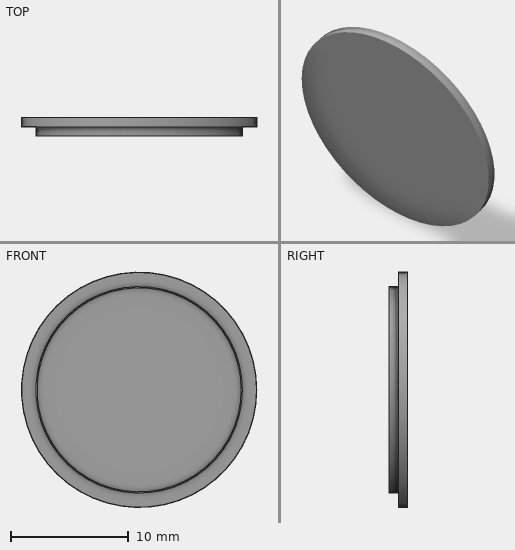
import cadquery as cq

flange_diameter = 20.0
flange_thickness = 0.8
rim_outer_diameter = 17.55
rim_inner_diameter = 17.35
rim_height = 0.8


def make_flange():
    """Flat round disc whose front face lies on Y = 0 and whose back faces +Y."""
    return cq.Workplane("XZ").circle(flange_diameter / 2).extrude(-flange_thickness)


def make_rim():
    """Thin ring standing on the front face of the flange, toward -Y."""
    return (
        cq.Workplane("XZ")
        .circle(rim_outer_diameter / 2)
        .circle(rim_inner_diameter / 2)
        .extrude(rim_height)
    )


result = make_flange().union(make_rim())